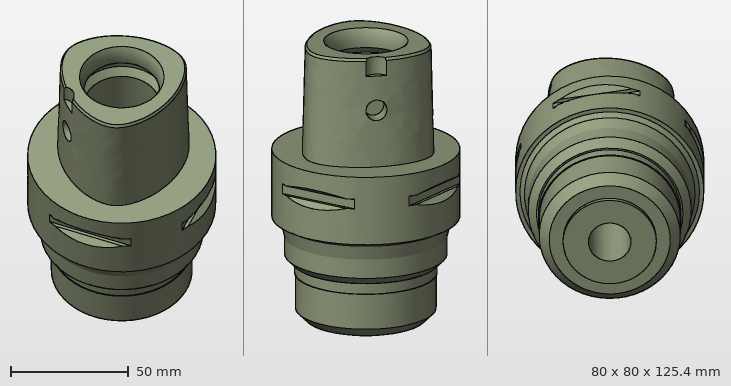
import cadquery as cq
import math

TOTAL_HEIGHT = 125.4
SHANK_LENGTH = 48.0
FLANGE_TOP = TOTAL_HEIGHT - SHANK_LENGTH
FLANGE_BOTTOM = 47.3
CONE_TOP = 45.4
CONE_BOTTOM = 38.7
COLLAR_BOTTOM = 30.5
BAND_BOTTOM = 22.0
NOSE_CHAMFER_TOP = 6.3
NOSE_FACE = 2.0

FLANGE_RADIUS = 40.0
FLANGE_EDGE_RADIUS = 38.1
CONE_RADIUS = 36.2
COLLAR_RADIUS = 34.6
COLLAR_CHAMFER = 3.5
BAND_RADIUS = 30.3
NOSE_RADIUS = 30.0
NOSE_CHAMFER = NOSE_CHAMFER_TOP - NOSE_FACE
END_RING_RADIUS = 19.8

SHANK_MEAN_RADIUS = 28.0
LOBE_HEIGHT = 1.9
TAPER = 1 / 40
TOP_CHAMFER_HEIGHT = 1.1
TOP_CHAMFER_WIDTH = 0.8
OUTLINE_POINTS = 36

ENTRY_RADIUS = 17.9
BORE_RADIUS = 16.0
ENTRY_DEPTH = 6.3
GROOVE_RADIUS = 19.0
GROOVE_START = 8.3
GROOVE_END = 16.5
BORE_DEPTH = SHANK_LENGTH
THROUGH_RADIUS = 9.0

KEY_SLOT_RADIUS = 5.1
KEY_SLOT_CENTRE = 27.5
KEY_SLOT_DEPTH = 7.8
SIDE_HOLE_RADIUS = 4.5
SIDE_HOLE_HEIGHT = 102.5
SIDE_HOLE_DEPTH = 7.5

NOTCH_COUNT = 4
NOTCH_HEIGHT = 65.3
NOTCH_WIDTH = 4.3
NOTCH_FLOOR = 35.4
FLARE_START = 36.9
FLARE_RISE = 2.1


def turned_body():
    """Flange, cones and nose below the shank, as one revolved outline."""
    outline = [
        (0, 0),
        (END_RING_RADIUS, 0),
        (END_RING_RADIUS, NOSE_FACE),
        (NOSE_RADIUS - NOSE_CHAMFER, NOSE_FACE),
        (NOSE_RADIUS, NOSE_CHAMFER_TOP),
        (NOSE_RADIUS, BAND_BOTTOM),
        (BAND_RADIUS, BAND_BOTTOM),
        (BAND_RADIUS, COLLAR_BOTTOM - COLLAR_CHAMFER),
        (COLLAR_RADIUS - COLLAR_CHAMFER, COLLAR_BOTTOM - COLLAR_CHAMFER),
        (COLLAR_RADIUS, COLLAR_BOTTOM),
        (COLLAR_RADIUS, CONE_BOTTOM),
        (CONE_RADIUS, CONE_TOP),
        (FLANGE_EDGE_RADIUS, FLANGE_BOTTOM),
        (FLANGE_RADIUS, FLANGE_BOTTOM),
        (FLANGE_RADIUS, FLANGE_TOP),
        (0, FLANGE_TOP),
    ]
    return cq.Workplane("XZ").polyline(outline).close().revolve(360, (0, 0), (0, 1))


def lobed_point(mean_radius, angle):
    """Point where the outline's tangent lies mean_radius - LOBE_HEIGHT * cos(3 * angle) from the axis."""
    distance = mean_radius - LOBE_HEIGHT * math.cos(3 * angle)
    slope = 3 * LOBE_HEIGHT * math.sin(3 * angle)
    along = distance * math.cos(angle) - slope * math.sin(angle)
    across = distance * math.sin(angle) + slope * math.cos(angle)
    return across, -along


def lobed_outline(workplane, mean_radius):
    """Smooth closed three-lobed curve with one lobe on +Y and a flank on -Y."""
    step = 2 * math.pi / OUTLINE_POINTS
    points = [lobed_point(mean_radius, index * step) for index in range(OUTLINE_POINTS)]
    return workplane.spline(points, periodic=True).close()


def lobed_loft(bottom, bottom_radius, height, top_radius):
    """Straight-sided loft between two lobed outlines."""
    lower = lobed_outline(cq.Workplane("XY", origin=(0, 0, bottom)), bottom_radius)
    upper_plane = lower.workplane(offset=height, origin=(0, 0, bottom))
    return lobed_outline(upper_plane, top_radius).loft(ruled=True)


def shank():
    taper_height = SHANK_LENGTH - TOP_CHAMFER_HEIGHT
    upper_radius = SHANK_MEAN_RADIUS - taper_height * TAPER
    tapered = lobed_loft(FLANGE_TOP, SHANK_MEAN_RADIUS, taper_height, upper_radius)
    chamfered = lobed_loft(
        FLANGE_TOP + taper_height, upper_radius, TOP_CHAMFER_HEIGHT, upper_radius - TOP_CHAMFER_WIDTH
    )
    return tapered.union(chamfered)


def bore():
    """Revolved cutter: rounded entry, 45-degree sided groove, bore and through hole."""
    entry_fillet = ((ENTRY_RADIUS - BORE_RADIUS) ** 2 + ENTRY_DEPTH**2) / (2 * (ENTRY_RADIUS - BORE_RADIUS))
    entry_mid = ENTRY_DEPTH / 2
    entry_mid_radius = BORE_RADIUS + entry_fillet - math.sqrt(entry_fillet**2 - entry_mid**2)
    groove_side = GROOVE_RADIUS - BORE_RADIUS
    return (
        cq.Workplane("XZ", origin=(0, 0, TOTAL_HEIGHT))
        .lineTo(ENTRY_RADIUS, 0)
        .threePointArc((entry_mid_radius, -entry_mid), (BORE_RADIUS, -ENTRY_DEPTH))
        .lineTo(BORE_RADIUS, -GROOVE_START)
        .lineTo(GROOVE_RADIUS, -GROOVE_START - groove_side)
        .lineTo(GROOVE_RADIUS, -GROOVE_END + groove_side)
        .lineTo(BORE_RADIUS, -GROOVE_END)
        .lineTo(BORE_RADIUS, -BORE_DEPTH)
        .lineTo(THROUGH_RADIUS, -BORE_DEPTH)
        .lineTo(THROUGH_RADIUS, -TOTAL_HEIGHT)
        .lineTo(0, -TOTAL_HEIGHT)
        .close()
        .revolve(360, (0, 0), (0, 1))
    )


def key_slot():
    return (
        cq.Workplane("XY", origin=(0, -KEY_SLOT_CENTRE, TOTAL_HEIGHT))
        .circle(KEY_SLOT_RADIUS)
        .extrude(-KEY_SLOT_DEPTH)
    )


def side_hole():
    """Blind hole running inward from the middle of the -Y flank."""
    flank_radius = SHANK_MEAN_RADIUS - LOBE_HEIGHT - (SIDE_HOLE_HEIGHT - FLANGE_TOP) * TAPER
    floor_y = SIDE_HOLE_DEPTH - flank_radius
    return (
        cq.Workplane("XZ", origin=(0, floor_y, SIDE_HOLE_HEIGHT))
        .circle(SIDE_HOLE_RADIUS)
        .extrude(FLANGE_RADIUS)
    )


def gripper_notch():
    """Notch cutter on the +X side: narrow slot whose sides flare outward to the rim."""
    half_width = NOTCH_WIDTH / 2
    flare_half_width = half_width + FLARE_RISE
    half_section = [
        (NOTCH_FLOOR, half_width),
        (FLARE_START, half_width),
        (FLANGE_RADIUS, flare_half_width),
    ]
    mirrored = [(x, -z) for x, z in reversed(half_section)]
    return (
        cq.Workplane("XZ", origin=(0, 0, NOTCH_HEIGHT))
        .polyline(half_section + mirrored)
        .close()
        .extrude(FLANGE_RADIUS, both=True)
    )


result = turned_body().union(shank())
result = result.cut(bore()).cut(key_slot()).cut(side_hole())

notch_spacing = 360 / NOTCH_COUNT
for index in range(NOTCH_COUNT):
    notch_angle = notch_spacing * (index + 0.5)
    result = result.cut(gripper_notch().rotate((0, 0, 0), (0, 0, 1), notch_angle))